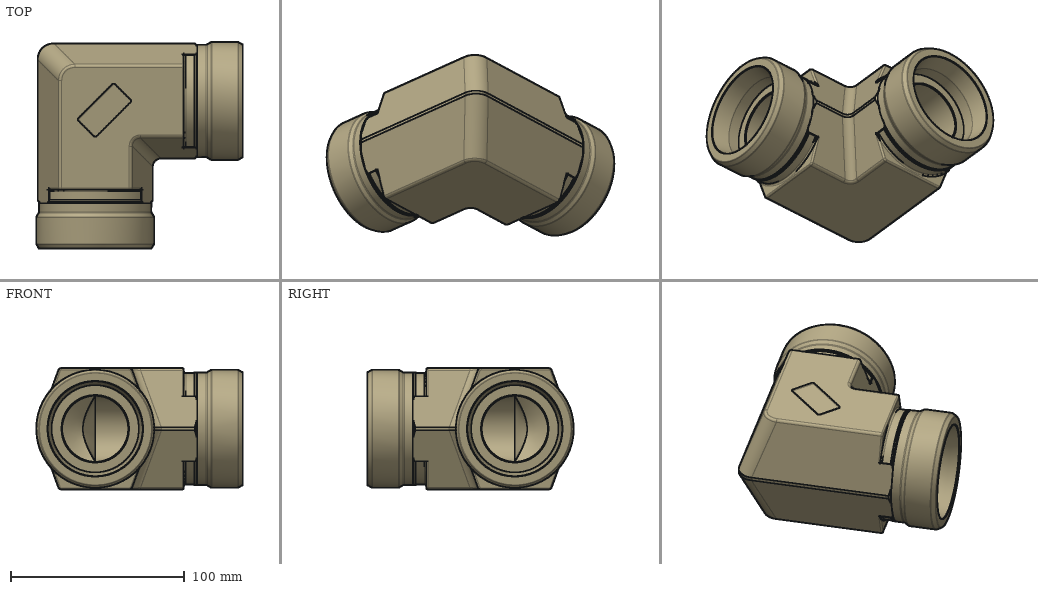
import cadquery as cq
import math

BLOCK_HEIGHT = 70.0
BELT_HALF_WIDTH = 33.2
BELT_HALF_HEIGHT = 1.0
SIDE_SLOPE = 20.0
ARM_LENGTH = 51.0
OUTER_CORNER_RADIUS = 10.0
INNER_CORNER_RADIUS = 5.0
TOP_EDGE_RADIUS = 2.0
END_EDGE_RADIUS = 1.0

BAND_HALF_HEIGHT = 18.6
BAND_START = 45.0
BAND_END = 57.3

PORT_LENGTH = 85.0
INNER_NECK_RADIUS = 32.2
NECK_RADIUS = 64.9 / 2
NECK_STEP = 57.0
NECK_FILLET = 1.0
GROOVE_BOTTOM = 58.3
GROOVE_END = 58.8
GROOVE_RADIUS = INNER_NECK_RADIUS
THREAD_RADIUS = 68.0 / 2
THREAD_START = 64.1
THREAD_ROOT_RADIUS = 1.5
THREAD_EDGE_RADIUS = 0.8
FACE_EDGE_RADIUS = 0.4
THREAD_CHAMFER_ANGLE = math.radians(30)
THREAD_CHAMFER_DEPTH = THREAD_RADIUS - NECK_RADIUS
THREAD_CHAMFER_LENGTH = THREAD_CHAMFER_DEPTH / math.tan(THREAD_CHAMFER_ANGLE)

BORE_RADIUS = 38.0 / 2
BORE_CHAMFER = 0.5
DRILL_HALF_ANGLE = 59.0
SEAT_RADIUS = 50.26 / 2
SEAT_DEPTH = 18.0
CONE_DEPTH = 10.5
CONE_HALF_ANGLE = 12.0
MOUTH_EDGE_BREAK = 0.3

PANEL_LENGTH = 29.8
PANEL_WIDTH = 14.8
PANEL_DEPTH = 0.5
PANEL_OFFSET = 5.3
PANEL_ANGLE = 45.0
PANEL_CORNER_RADIUS = 1.0
PANEL_FLOOR_RADIUS = 0.4


def half_width(height):
    """Half width of the block section at a height above the bore axis."""
    return BELT_HALF_WIDTH - (height - BELT_HALF_HEIGHT) * math.tan(math.radians(SIDE_SLOPE))


def second_arm(feature):
    """Copy of an X arm feature turned about the elbow diagonal onto the -Y arm."""
    return feature.rotate((0, 0, 0), (1, -1, 0), 180)


def on_both_arms(feature):
    return feature.union(second_arm(feature))


def diagonal_edges(solid, side):
    """Corner edges in the vertical plane of the elbow diagonal, outer (side -1) or inner (side 1)."""
    tolerance = 1e-3
    centers = [(edge, edge.Center()) for edge in solid.edges().vals()]
    corner = [edge for edge, c in centers if abs(c.x + c.y) < tolerance and c.x * side > 0]
    return solid.newObject(corner)


def elbow_block():
    """Upper half with rounded corners and edges, mirrored about the bore plane."""
    top = BLOCK_HEIGHT / 2
    path = cq.Workplane("XY").moveTo(ARM_LENGTH, 0).lineTo(0, 0).lineTo(0, -ARM_LENGTH)
    upper = (
        cq.Workplane("YZ", origin=(ARM_LENGTH, 0, 0))
        .moveTo(-BELT_HALF_WIDTH, BELT_HALF_HEIGHT)
        .lineTo(BELT_HALF_WIDTH, BELT_HALF_HEIGHT)
        .lineTo(half_width(top), top)
        .lineTo(-half_width(top), top)
        .close()
        .sweep(path, transition="right")
    )
    upper = diagonal_edges(upper, -1).fillet(OUTER_CORNER_RADIUS)
    upper = diagonal_edges(upper, 1).fillet(INNER_CORNER_RADIUS)
    belt_outline = upper.wires("<Z").val()
    belt = cq.Workplane("XY").add(belt_outline).toPending().extrude(-BELT_HALF_HEIGHT)
    upper = upper.faces(">Z").edges("not (>X or <Y)").fillet(TOP_EDGE_RADIUS)
    upper = upper.faces(">X or <Y").edges("not <Z").fillet(END_EDGE_RADIUS)
    upper = upper.union(belt)
    return upper.union(upper.mirror("XY"))


def revolve_about_x(points):
    return cq.Workplane("XY").polyline(points).close().revolve(360, (0, 0, 0), (1, 0, 0))


def band():
    """Middle band of the X arm, running on past the end wall of the block."""
    top_width = half_width(BAND_HALF_HEIGHT)
    upper_outline = [
        (BELT_HALF_WIDTH, BELT_HALF_HEIGHT),
        (top_width, BAND_HALF_HEIGHT),
        (-top_width, BAND_HALF_HEIGHT),
        (-BELT_HALF_WIDTH, BELT_HALF_HEIGHT),
    ]
    lower_outline = [(-y, -z) for y, z in upper_outline]
    return (
        cq.Workplane("YZ", origin=(BAND_START, 0, 0))
        .polyline(upper_outline + lower_outline)
        .close()
        .extrude(GROOVE_END - BAND_START)
    )


def inner_neck():
    """Round neck above and below the band, with a fillet at the end wall of the block."""
    neck = (
        cq.Workplane("XY")
        .moveTo(ARM_LENGTH, 0)
        .lineTo(ARM_LENGTH, INNER_NECK_RADIUS + NECK_FILLET)
        .radiusArc((ARM_LENGTH + NECK_FILLET, INNER_NECK_RADIUS), -NECK_FILLET)
        .lineTo(NECK_STEP, INNER_NECK_RADIUS)
        .lineTo(NECK_STEP, NECK_RADIUS)
        .lineTo(GROOVE_END, NECK_RADIUS)
        .lineTo(GROOVE_END, 0)
        .close()
        .revolve(360, (0, 0, 0), (1, 0, 0))
    )
    band_space = cq.Workplane("XY").box(2 * PORT_LENGTH, 2 * PORT_LENGTH, 2 * BAND_HALF_HEIGHT)
    return neck.cut(band_space)


def turned_limit():
    """Body of revolution that bevels the band end down to the bottom of the relief groove."""
    return revolve_about_x([
        (BAND_START, 0),
        (BAND_START, BLOCK_HEIGHT),
        (BAND_END, BLOCK_HEIGHT),
        (BAND_END, BELT_HALF_WIDTH),
        (GROOVE_BOTTOM, GROOVE_RADIUS),
        (GROOVE_END, NECK_RADIUS),
        (GROOVE_END, 0),
    ])


def thread_collar():
    """Outer neck and thread collar, chamfered at both ends."""
    start_chamfer = THREAD_START + THREAD_CHAMFER_LENGTH
    end_chamfer = PORT_LENGTH - THREAD_CHAMFER_LENGTH
    neck_bend = THREAD_ROOT_RADIUS * math.tan(THREAD_CHAMFER_ANGLE / 2)
    bend_end_x = THREAD_START + neck_bend * math.cos(THREAD_CHAMFER_ANGLE)
    bend_end_radius = NECK_RADIUS + neck_bend * math.sin(THREAD_CHAMFER_ANGLE)
    collar = (
        cq.Workplane("XY")
        .moveTo(GROOVE_END, 0)
        .lineTo(GROOVE_END, NECK_RADIUS)
        .lineTo(THREAD_START - neck_bend, NECK_RADIUS)
        .radiusArc((bend_end_x, bend_end_radius), -THREAD_ROOT_RADIUS)
        .lineTo(start_chamfer, THREAD_RADIUS)
        .lineTo(end_chamfer, THREAD_RADIUS)
        .lineTo(PORT_LENGTH, THREAD_RADIUS - THREAD_CHAMFER_DEPTH)
        .lineTo(PORT_LENGTH, 0)
        .close()
        .revolve(360, (0, 0, 0), (1, 0, 0))
    )
    collar = collar.faces(">X").edges().fillet(FACE_EDGE_RADIUS)
    largest_circles = cq.selectors.RadiusNthSelector(-1)
    return collar.edges(largest_circles).fillet(THREAD_EDGE_RADIUS)


def arm_end():
    return band().union(inner_neck()).intersect(turned_limit()).union(thread_collar())


def bore():
    """Drilled bore of the X arm with its drill point, stop shoulder and cone mouth."""
    drill_point = BORE_RADIUS / math.tan(math.radians(DRILL_HALF_ANGLE))
    cone_length = CONE_DEPTH - MOUTH_EDGE_BREAK
    cone_radius = SEAT_RADIUS + cone_length * math.tan(math.radians(CONE_HALF_ANGLE))
    shoulder = PORT_LENGTH - SEAT_DEPTH
    return revolve_about_x([
        (-drill_point, 0),
        (0, BORE_RADIUS),
        (shoulder - BORE_CHAMFER, BORE_RADIUS),
        (shoulder, BORE_RADIUS + BORE_CHAMFER),
        (shoulder, SEAT_RADIUS),
        (PORT_LENGTH - CONE_DEPTH, SEAT_RADIUS),
        (PORT_LENGTH - MOUTH_EDGE_BREAK, cone_radius),
        (PORT_LENGTH, cone_radius + MOUTH_EDGE_BREAK),
        (PORT_LENGTH, 0),
    ])


def marking_panel():
    """Shallow rounded recess, centered on the elbow diagonal."""
    return (
        cq.Workplane("XY")
        .rect(PANEL_LENGTH, PANEL_WIDTH)
        .extrude(-PANEL_DEPTH)
        .edges("|Z")
        .fillet(PANEL_CORNER_RADIUS)
        .faces("<Z")
        .edges()
        .fillet(PANEL_FLOOR_RADIUS)
        .rotate((0, 0, 0), (0, 0, 1), PANEL_ANGLE)
        .translate((PANEL_OFFSET, -PANEL_OFFSET, BLOCK_HEIGHT / 2))
    )


result = elbow_block().union(on_both_arms(arm_end()))
result = result.cut(on_both_arms(bore())).cut(marking_panel())